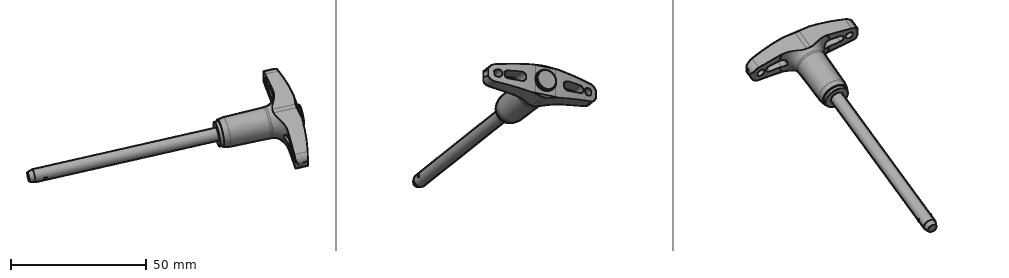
import cadquery as cq
import math

length = 104.9

button_radius = 4.1
button_height = 2.0
button_chamfer = 0.3

half_span = 45.4 / 2
end_draft = 0.3
half_width = 12.7 / 2
middle_flat = 0.8
side_angle = 7.8
end_radius = 3.6
crown_y = -1.4
crown_flat = 4.2
crown_end_y = -3.9
crown_bevel = 0.7
grip_y = -7.8
grip_end_y = -8.5
grip_arc_radius = (half_span**2 + (grip_y - grip_end_y) ** 2) / (2 * (grip_y - grip_end_y))
grip_corner_radius = 1.2

neck_radius = 12.1 / 2
neck_top_y = -5.8
neck_y = -12.7
flare_radius = 4.7

slot_inner_x = 7.8
slot_outer_x = 16.4
slot_inner_radius = 1.9
slot_outer_radius = 1.6
hole_x = 18.7
hole_radius = 3.0 / 2

sleeve_y = -13.4
sleeve_start_radius = 11.9 / 2
sleeve_end_y = -28.8
sleeve_end_radius = 5.7
nose_y = -31.0
nose_radius = 5.2
collar_y = -32.4
collar_radius = 4.7

pin_radius = 2.5
tip_radius = 3.7 / 2
taper_length = 2.0
ball_radius = 0.79
ball_y = -99.0
ball_reach = 2.8


def handle_outline():
    """Tapered, round-ended outline of the handle, as a prism along Y."""
    lean = math.radians(side_angle)
    end_center = half_span - end_radius
    tangent_x = end_center + end_radius * math.sin(lean)
    tangent_z = end_radius * math.cos(lean)
    return (
        cq.Workplane("XZ")
        .moveTo(-middle_flat, half_width)
        .lineTo(middle_flat, half_width)
        .lineTo(tangent_x, tangent_z)
        .threePointArc((half_span, 0), (tangent_x, -tangent_z))
        .lineTo(middle_flat, -half_width)
        .lineTo(-middle_flat, -half_width)
        .lineTo(-tangent_x, -tangent_z)
        .threePointArc((-half_span, 0), (-tangent_x, tangent_z))
        .close()
        .extrude(-neck_y)
    )


def handle_arch():
    """Bowed bar: arched crown, slightly hollow grip and leaning ends."""
    right_half = (
        cq.Workplane("XY")
        .moveTo(0, crown_y)
        .lineTo(crown_flat, crown_y)
        .tangentArcPoint((half_span - end_draft, crown_end_y), relative=False)
        .lineTo(half_span, grip_end_y)
        .radiusArc((0, grip_y), -grip_arc_radius)
        .close()
        .extrude(half_width, both=True)
        .edges(cq.selectors.NearestToPointSelector((half_span, grip_end_y, 0)))
        .fillet(grip_corner_radius)
    )
    return right_half.union(right_half.mirror("YZ"))


def neck():
    """Flared neck, round about the pin axis, from the grip down to the sleeve."""
    flare_center_x = neck_radius + flare_radius
    diagonal = flare_radius * math.sqrt(0.5)
    return (
        cq.Workplane("XY")
        .moveTo(0, neck_top_y)
        .lineTo(flare_center_x, neck_top_y)
        .lineTo(flare_center_x, neck_y + flare_radius)
        .threePointArc(
            (flare_center_x - diagonal, neck_y + diagonal),
            (neck_radius, neck_y),
        )
        .lineTo(0, neck_y)
        .close()
        .revolve(360, (0, 0, 0), (0, 1, 0))
    )


def handle_openings():
    """Tapered finger slot and round lanyard hole through each arm."""
    inner_center = slot_inner_x + slot_inner_radius
    outer_center = slot_outer_x - slot_outer_radius
    lean = math.asin((slot_inner_radius - slot_outer_radius) / (outer_center - inner_center))
    inner_tangent_x = inner_center + slot_inner_radius * math.sin(lean)
    inner_tangent_z = slot_inner_radius * math.cos(lean)
    outer_tangent_x = outer_center + slot_outer_radius * math.sin(lean)
    outer_tangent_z = slot_outer_radius * math.cos(lean)
    slot = (
        cq.Workplane("XZ")
        .moveTo(inner_tangent_x, inner_tangent_z)
        .lineTo(outer_tangent_x, outer_tangent_z)
        .threePointArc((slot_outer_x, 0), (outer_tangent_x, -outer_tangent_z))
        .lineTo(inner_tangent_x, -inner_tangent_z)
        .threePointArc((slot_inner_x, 0), (inner_tangent_x, inner_tangent_z))
        .close()
        .extrude(-neck_y)
    )
    hole = cq.Workplane("XZ").center(hole_x, 0).circle(hole_radius).extrude(-neck_y)
    openings = slot.union(hole)
    return openings.union(openings.mirror("YZ"))


def crown_bevels():
    """Wedges that bevel the crown where the handle is widest in Z."""
    wedge = (
        cq.Workplane("YZ")
        .moveTo(crown_y, half_width)
        .lineTo(crown_y, half_width - crown_bevel)
        .lineTo(crown_y - crown_bevel, half_width)
        .close()
        .extrude(half_span, both=True)
    )
    return wedge.union(wedge.mirror("XY"))


def handle():
    body = handle_arch().union(neck()).intersect(handle_outline())
    return body.cut(crown_bevels()).cut(handle_openings())


def button():
    cylinder = cq.Workplane("XZ").circle(button_radius).extrude(button_height)
    return cylinder.faces(">Y").chamfer(button_chamfer)


def sleeve_and_pin():
    """All turned steps from the neck to the pin tip, in one revolved profile."""
    profile = [
        (0, crown_y),
        (pin_radius, crown_y),
        (pin_radius, neck_y),
        (neck_radius, neck_y),
        (sleeve_start_radius, sleeve_y),
        (sleeve_end_radius, sleeve_end_y),
        (nose_radius, nose_y),
        (collar_radius, nose_y),
        (collar_radius, collar_y),
        (pin_radius, collar_y),
        (pin_radius, taper_length - length),
        (tip_radius, -length),
        (0, -length),
    ]
    return cq.Workplane("XY").polyline(profile).close().revolve(360, (0, 0, 0), (0, 1, 0))


def locking_balls():
    ball_x = ball_reach - ball_radius
    centers = [(-ball_x, ball_y), (ball_x, ball_y)]
    return cq.Workplane("XY").pushPoints(centers).sphere(ball_radius)


result = handle().union(button()).union(sleeve_and_pin()).union(locking_balls())